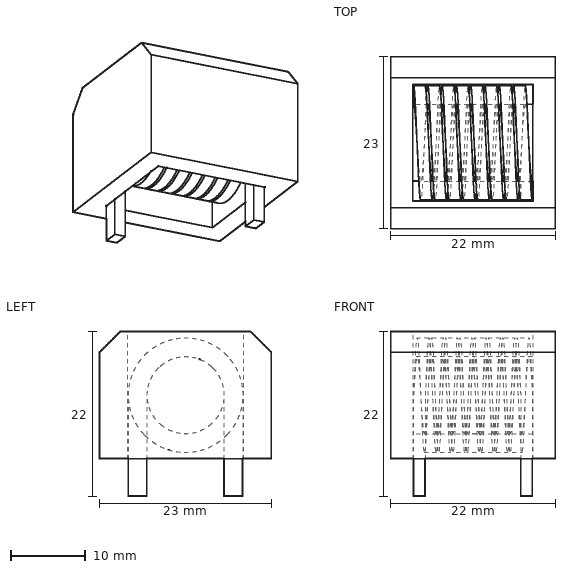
import cadquery as cq

HOUSING_X = 22.0
HOUSING_Y = 23.0
HOUSING_HEIGHT = 17.0
HOUSING_CHAMFER = 2.8
WINDOW_X = 16.0
WINDOW_Y = 15.5

CORE_DIAMETER = 10.3
AXIS_HEIGHT = HOUSING_HEIGHT / 2

WIRE_WIDTH = 1.56
WIRE_DEPTH = 2.5
TURNS = 7.5
COIL_PITCH = 1.9
COIL_ADVANCE = COIL_PITCH * TURNS
COIL_RADIUS = (CORE_DIAMETER + WIRE_DEPTH) / 2

PIN_LENGTH = 5.01


def make_housing():
    block = cq.Workplane("XY").box(HOUSING_X, HOUSING_Y, HOUSING_HEIGHT, centered=(True, True, False))
    block = block.faces(">Z").edges("|X").chamfer(HOUSING_CHAMFER)
    window = cq.Workplane("XY").box(WINDOW_X, WINDOW_Y, HOUSING_HEIGHT, centered=(True, True, False))
    return block.cut(window)


def make_core():
    start = (-WINDOW_X / 2, 0, AXIS_HEIGHT)
    return cq.Workplane("YZ", origin=start).circle(CORE_DIAMETER / 2).extrude(WINDOW_X)


def make_turns():
    """Right-handed winding along X, from the +Y side at its -X end up and over the core."""
    path = cq.Workplane(obj=cq.Wire.makeHelix(COIL_PITCH, COIL_ADVANCE, COIL_RADIUS))
    wire_section = cq.Workplane("XZ").center(COIL_RADIUS, 0).rect(WIRE_DEPTH, WIRE_WIDTH)
    upright_turns = wire_section.sweep(path, isFrenet=True)
    turns = upright_turns.rotate((0, 0, 0), (1, 1, 1), 120)
    return turns.translate((-COIL_ADVANCE / 2, 0, AXIS_HEIGHT))


def make_wire_end(side):
    """Straight wire end going down from the core axis height; side is -1 at -X, +1 at +X."""
    wire_end = cq.Workplane("XY").box(
        WIRE_WIDTH, WIRE_DEPTH, AXIS_HEIGHT + PIN_LENGTH, centered=(True, True, False)
    )
    return wire_end.translate((side * COIL_ADVANCE / 2, -side * COIL_RADIUS, -PIN_LENGTH))


def make_coil():
    coil = make_turns()
    for side in (-1, 1):
        coil = coil.union(make_wire_end(side))
    return coil


housing = make_housing()
core = make_core()
coil = make_coil()

result = cq.Compound.makeCompound([housing.solids().val(), core.val(), coil.solids().val()])